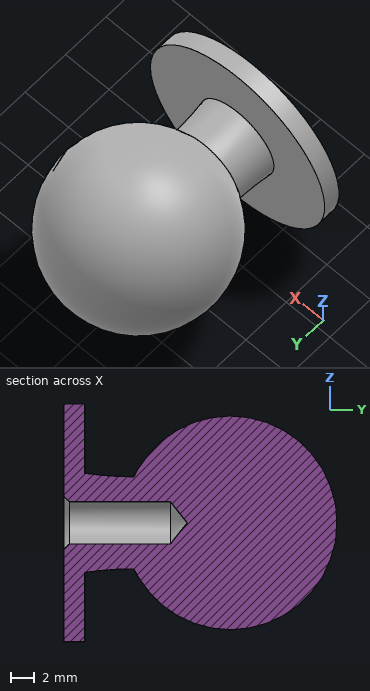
import cadquery as cq
import math

total_length = 23.0
flange_radius = 10.0
flange_thickness = 1.8
ball_radius = 9.0
neck_base_radius = 4.19
neck_top_radius = 3.89

hole_radius = 1.77
hole_depth = 8.97
countersink_radius = 2.25
countersink_depth = countersink_radius - hole_radius
drill_point_angle = 103.0
drill_point_depth = hole_radius / math.tan(math.radians(drill_point_angle / 2))

ball_center = total_length - ball_radius
neck_top = ball_center - math.sqrt(ball_radius**2 - neck_top_radius**2)


def revolve_about_y(half_profile):
    return half_profile.close().revolve(360, (0, 0, 0), (0, 1, 0))


def neck_flank_midpoint():
    neck_length = neck_top - flange_thickness
    flare = neck_base_radius - neck_top_radius
    arc_radius = (neck_length**2 + flare**2) / (2 * flare)
    half_angle = math.asin(neck_length / arc_radius) / 2
    radius = neck_top_radius + arc_radius * (1 - math.cos(half_angle))
    return (radius, neck_top - arc_radius * math.sin(half_angle))


def flange_and_neck():
    profile = (
        cq.Workplane("XY")
        .lineTo(flange_radius, 0)
        .lineTo(flange_radius, flange_thickness)
        .lineTo(neck_base_radius, flange_thickness)
        .threePointArc(neck_flank_midpoint(), (neck_top_radius, neck_top))
        .lineTo(0, ball_center)
    )
    return revolve_about_y(profile)


def ball():
    return cq.Workplane("XY").sphere(ball_radius).translate((0, ball_center, 0))


def screw_hole():
    profile = (
        cq.Workplane("XY")
        .lineTo(countersink_radius, 0)
        .lineTo(hole_radius, countersink_depth)
        .lineTo(hole_radius, hole_depth)
        .lineTo(0, hole_depth + drill_point_depth)
    )
    return revolve_about_y(profile)


result = flange_and_neck().union(ball()).cut(screw_hole())